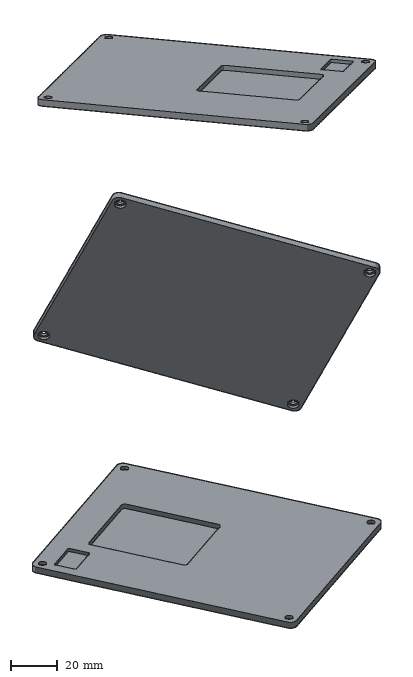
import cadquery as cq

length = 123.3
width = 96.2
thickness = 3.0
corner_radius = 3.0

hole_diameter = 3.3
hole_inset_x = 4.1
hole_inset_y = 4.0
counterbore_diameter = 5.0
counterbore_depth = 1.5

pocket_length = 46.0
pocket_width = 37.7
pocket_corner_radius = 1.6
pocket_center = (23.3, 2.5)
pocket_depth = 2.2

window_length = 10.1
window_width = 15.2
window_corner_radius = 0.5
window_center = (47.5, 35.5)
window_depth = 1.5


def pocket_tool(size_x, size_y, depth, corner_radius_xy, center):
    """Block with rounded corners that reaches down from the top face by the given depth."""
    return (
        cq.Workplane("XY", origin=(*center, thickness - depth))
        .rect(size_x, size_y)
        .extrude(depth)
        .edges("|Z")
        .fillet(corner_radius_xy)
    )


def corner_pins(diameter, height):
    """Four upright pins at the corner hole positions, rising from the underside."""
    return (
        cq.Workplane("XY")
        .rect(length - 2 * hole_inset_x, width - 2 * hole_inset_y, forConstruction=True)
        .vertices()
        .circle(diameter / 2)
        .extrude(height)
    )


plate = (
    cq.Workplane("XY")
    .rect(length, width)
    .extrude(thickness)
    .edges("|Z")
    .fillet(corner_radius)
)

holes = corner_pins(hole_diameter, thickness)
counterbores = corner_pins(counterbore_diameter, counterbore_depth)
pocket = pocket_tool(pocket_length, pocket_width, pocket_depth, pocket_corner_radius, pocket_center)
window = pocket_tool(window_length, window_width, window_depth, window_corner_radius, window_center)

result = plate.cut(holes).cut(counterbores).cut(pocket).cut(window)